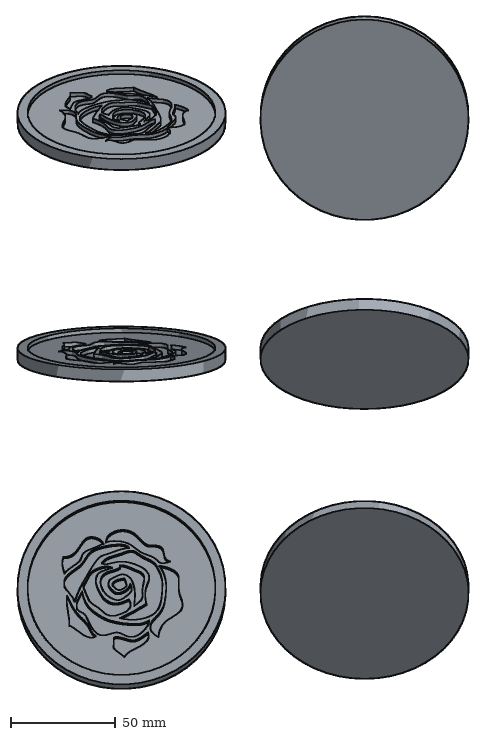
import cadquery as cq

outer_diameter = 100
thickness = 6
recess_diameter = 90.2
recess_depth = 2
petal_depth = 2

floor_height = thickness - recess_depth

top_petal = [
    [(-15.4, 22.2), (-15.5, 24), (-14, 26), (-10, 28.3)],
    [(-4.7, 31), (-1, 29.1), (5, 27)],
    [(9.4, 24.6), (5, 24.9), (-1, 24.6), (-5, 23.6), (-9, 22.9), (-13, 23)],
]

upper_left_petal = [
    [(-31.5, 15.2), (-30.3, 11), (-30.1, 5), (-29, 1.5)],
    [(-25.7, -0.8), (-26.3, 3), (-26.1, 7), (-24, 9.8)],
    [(-20.8, 13.2), (-20.7, 15.3), (-22.4, 16.2), (-24.5, 17.4), (-27, 17.1)],
]

lower_left_petal = [
    [(-30, -4.1), (-26.5, -7.2), (-25, -10), (-24.1, -15), (-23.2, -19.5), (-20.5, -22.3),
     (-15, -23.6), (-10, -25.9), (-6, -27.5), (-2.5, -26.3)],
    [(2.2, -21.8), (-3, -21.7), (-7.5, -20.3), (-12, -17.7), (-18.5, -11.9), (-20.3, -8),
     (-21.5, -5.1), (-24, -2.9), (-27, -2.7)],
]

lower_right_petal = [
    [(1.7, -27.5), (2, -25.4), (3.3, -22.9), (6, -21.9), (12, -17.6), (19.5, -13.9), (22.5, -10.7)],
    [(25, -4.9), (27.3, -7.2), (27.9, -10), (27, -14.7), (23.5, -18.5), (17, -20.6),
     (14, -22.2), (12.4, -25), (9.7, -27.2), (5.5, -26.3)],
]

right_petal = [
    [(20.1, 20.2), (23.5, 19.4), (26.5, 18)],
    [(28, 16.7), (27, 14), (27.2, 11.2), (30.2, 5.2), (31.2, 1.5), (29.6, -1.5)],
    [(24.9, -3.5), (25.4, 4), (24.7, 8), (22.7, 10.4), (21.6, 14.5)],
]

left_inner_petal = [
    [(-20.4, -4.3), (-20, 0), (-17.5, 5), (-14, 9.8), (-10.3, 13.5), (-5, 16.6), (0, 18.2), (3.5, 18.2)],
    [(8, 17.1), (5.8, 20.2), (1.7, 23.4), (0, 23.4), (-2, 22.2), (-6, 21.6), (-13.5, 21.5),
     (-16.2, 20), (-17.8, 15.5), (-18.8, 12.2), (-22.5, 9.2), (-24.5, 6), (-24.4, 2.5), (-22.5, -2)],
]

right_inner_petal = [
    [(5, 22.8), (9, 22.9), (12, 23.4), (14.7, 23.3), (17.2, 21.8), (19.2, 17.5), (20.7, 10.5),
     (23.9, 4.5), (23.6, -3), (21, -10), (19, -12.6)],
    [(17.1, -13.3), (18.6, -8), (19.2, -3), (19.7, 0.5), (18.8, 3.5), (15, 10), (9.5, 18)],
]

upper_middle_petal = [
    [(-6.2, -0.6), (-6, 3), (-4.8, 6.4), (-1.5, 9.1), (1, 9.8), (5, 9.8), (9.5, 8.9),
     (12.2, 6.5), (12.5, 3)],
    [(12, -1.4), (14.2, 1.5), (14.9, 5), (14.8, 8), (12.5, 12)],
    [(10.2, 15.5), (5.5, 16.1), (0.5, 16.1), (-3.5, 14.2), (-8, 12.5), (-9.7, 11), (-11.1, 6),
     (-11.1, 3), (-9.8, 0.5)],
]

lower_middle_petal = [
    [(-12.8, 7.7), (-12.7, 0)],
    [(-12.2, -7.1), (-9, -8.2), (-4.5, -11), (0, -15), (2, -15.1), (8.5, -11.7), (12, -7.8),
     (14, -3), (15.3, 1)],
    [(16.4, 2.1), (17.4, -1), (16.5, -8), (15.2, -14), (10.5, -16.8), (4.7, -20.3), (1, -20.6),
     (-5, -19.5), (-10, -16.8), (-16, -12.2), (-18.2, -8.8), (-18.3, -2.5), (-16.5, 2.5)],
]

spiral_petal = [
    [(-10.4, -1.3), (-5, -4.7), (0, -6.4), (4, -6.2), (6.6, -4), (7.1, 0), (6.8, 3), (5, 4.4),
     (2.5, 4.3), (-0.5, 2.9), (-1.4, 0), (-1, -3)],
    [(0.5, -5), (-3, -3.6), (-4.3, 0), (-4.2, 4), (-2.5, 5.9), (2, 7.9), (5, 7.9), (8.5, 6.9),
     (10.6, 4.5), (11, 1.5), (10.4, -2)],
    [(10.4, -4.9)],
    [(11.4, -5), (10.3, -6.9), (6.5, -10.1), (3, -12.5), (1, -12.8), (-1.5, -11.3), (-5, -8.7),
     (-8.7, -6.5), (-9.9, -4)],
]

rose_heart = [
    [(4.4, -3.9), (5.2, -1), (4.9, 2)],
    [(4.5, 2.6), (2, 2.4), (0.2, 1.2), (-0.1, -0.9), (0.6, -3), (2, -3.6)],
]

petals = [
    top_petal, upper_left_petal, lower_left_petal, lower_right_petal, right_petal,
    left_inner_petal, right_inner_petal, upper_middle_petal, lower_middle_petal,
    spiral_petal, rose_heart,
]


def petal_cutter(edges):
    """Solid that sinks one petal into the coaster floor."""
    outline = cq.Workplane("XY").workplane(offset=floor_height).moveTo(*edges[0][0])
    next_edges = edges[1:] + edges[:1]
    for edge, next_edge in zip(edges, next_edges):
        points_ahead = edge[1:] + [next_edge[0]]
        if len(points_ahead) == 1:
            outline = outline.lineTo(*points_ahead[0])
        else:
            outline = outline.spline(points_ahead, includeCurrent=True)
    return outline.close().extrude(-petal_depth)


coaster = cq.Workplane("XY").circle(outer_diameter / 2).extrude(thickness)
coaster = coaster.faces(">Z").workplane().circle(recess_diameter / 2).cutBlind(-recess_depth)

for petal in petals:
    coaster = coaster.cut(petal_cutter(petal))

result = coaster